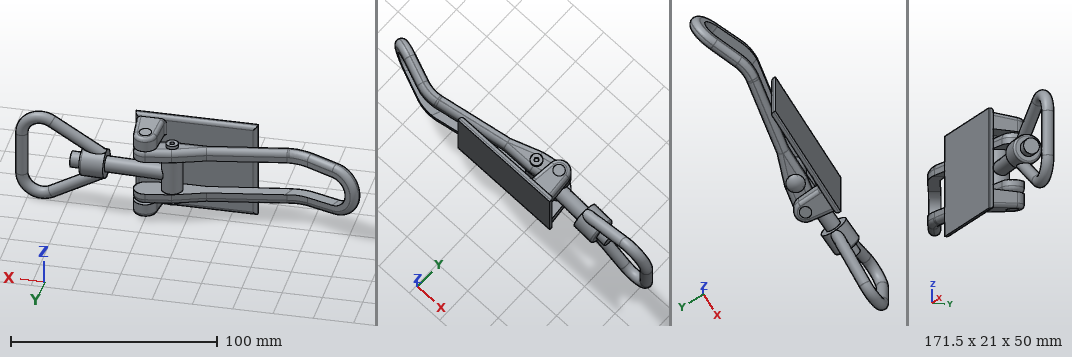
import cadquery as cq
import math


PLATE_LENGTH = 60.5
PLATE_WIDTH = 50.0
PLATE_THICKNESS = 3.0
PLATE_EDGE_ROUND = 2.0

HINGE_X = 52.6
EAR_TOP_RADIUS = 5.8
EAR_HEIGHT = 21.0
HINGE_Y = EAR_HEIGHT - EAR_TOP_RADIUS
EAR_INNER_Z = 15.0
EAR_FOOT_OUTER_Z = 23.7
EAR_DRAFT = 5.0
EAR_ROUND = 2.0
EAR_FOOT_FILLET = 1.0
TRUNNION_RADIUS = 3.0

LEVER_WIDTH = 6.0
LEVER_ROUND = 2.95
ARM_OUTER_Z = EAR_INNER_Z
ARM_ANGLE = 10.0
TIP_ANGLE = 22.0
BEND_CORNER = (-21.3, 2.25)
BEND_RADIUS = 21.7
ARM_LENGTH = 45.2
HUB_NECK_LENGTH = 13.0
TIP_LENGTH = 34.4
TIP_RADIUS = 13.9
TIP_TAPER = 2.5

RIVET_X = 39.8
RIVET_Y = 12.95
RIVET_RADIUS = 3.1
RIVET_END_HEIGHT = 1.7
RIVET_HOLE_RADIUS = 1.1
RIVET_HOLE_DEPTH = 2.0
RIVET_HEAD_RADIUS = 4.7
RIVET_HEAD_HEIGHT = 2.1

BOLT_ANGLE = -2.3
BOLT_RADIUS = 4.0
BOLT_LENGTH = 50.3
BARREL_RADIUS = 5.3
NUT_RADIUS = 7.25
NUT_START = 32.9
NUT_LENGTH = 12.2
NUT_ROUND = 1.0
LOOP_END = 78.3
LOOP_WIRE_RADIUS = 3.0
LOOP_BEND_RADIUS = 10.0
LOOP_STRAIGHT_HALF = 11.1
LOOP_LEG_ANGLE = 30.0

FAR = 100.0


def direction(degrees):
    """Unit vector in the XY plane at an angle from +X."""
    return cq.Vector(math.cos(math.radians(degrees)), math.sin(math.radians(degrees)), 0)


def flat(vector):
    return (vector.x, vector.y)


def cylinder_along_z(x, y, radius, z_start, z_end):
    return cq.Workplane("XY", origin=(x, y, z_start)).circle(radius).extrude(z_end - z_start)


def ear_envelope():
    """Wedge that bounds both ears with outer faces leaning inwards towards the top."""
    lean = math.tan(math.radians(EAR_DRAFT))
    low_z = EAR_FOOT_OUTER_Z + PLATE_THICKNESS * lean
    top_z = EAR_FOOT_OUTER_Z - (EAR_HEIGHT - PLATE_THICKNESS) * lean
    corners = [(0, -low_z), (EAR_HEIGHT, -top_z), (EAR_HEIGHT, top_z), (0, low_z)]
    return cq.Workplane("YZ").polyline(corners).close().extrude(FAR)


def ear(side):
    """One drafted ear with a round top; side is +1 or -1 along Z."""
    draft = math.radians(EAR_DRAFT)
    touch_x = EAR_TOP_RADIUS * math.cos(draft)
    touch_y = HINGE_Y + EAR_TOP_RADIUS * math.sin(draft)
    foot_y = PLATE_THICKNESS - PLATE_EDGE_ROUND
    foot_half = touch_x + (touch_y - foot_y) * math.tan(draft)
    fillet = EAR_FOOT_FILLET
    fillet_y = PLATE_THICKNESS + fillet
    face_x = HINGE_X - touch_x - (touch_y - fillet_y) * math.tan(draft)
    fillet_x = face_x - fillet / math.cos(draft)
    half_turn = (math.pi / 2 - draft) / 2
    blank = (
        cq.Workplane("XY", origin=(0, 0, side * EAR_INNER_Z))
        .moveTo(fillet_x, foot_y)
        .lineTo(fillet_x, PLATE_THICKNESS)
        .threePointArc(
            (fillet_x + fillet * math.sin(half_turn), fillet_y - fillet * math.cos(half_turn)),
            (fillet_x + fillet * math.cos(draft), fillet_y - fillet * math.sin(draft)),
        )
        .lineTo(HINGE_X - touch_x, touch_y)
        .threePointArc((HINGE_X, EAR_HEIGHT), (HINGE_X + touch_x, touch_y))
        .lineTo(HINGE_X + foot_half, foot_y)
        .close()
        .extrude(side * FAR)
        .intersect(ear_envelope())
    )
    leaning_face = blank.faces(cq.selectors.DirectionMinMaxSelector(cq.Vector(0, 0, side)))
    return leaning_face.edges("not(|X)").fillet(EAR_ROUND)


def make_base():
    plate = (
        cq.Workplane("XZ")
        .center(PLATE_LENGTH / 2, 0)
        .rect(PLATE_LENGTH, PLATE_WIDTH)
        .extrude(-PLATE_THICKNESS)
        .faces(">Y")
        .edges()
        .fillet(PLATE_EDGE_ROUND)
    )
    for side in (1, -1):
        plate = plate.union(ear(side))
    return plate.cut(cylinder_along_z(HINGE_X, HINGE_Y, TRUNNION_RADIUS, -FAR, FAR))


def lever_side_profile():
    """Bent strip seen along Z, widening into a neck and a round hub at the hinge."""
    half = LEVER_WIDTH / 2
    corner = cq.Vector(*BEND_CORNER)
    along_arm = direction(ARM_ANGLE)
    above_arm = direction(ARM_ANGLE + 90)
    along_tip = direction(180 - TIP_ANGLE)
    above_tip = direction(90 - TIP_ANGLE)
    tangent = BEND_RADIUS * math.tan(math.radians(ARM_ANGLE + TIP_ANGLE) / 2)
    bend_centre = corner + along_arm * tangent + above_arm * BEND_RADIUS
    to_bend_middle = (corner - bend_centre).normalized()
    tip_end = corner + along_tip * (TIP_LENGTH + LEVER_WIDTH)
    bend_tip = corner + along_tip * tangent
    bend_arm = corner + along_arm * tangent
    arm_end = corner + along_arm * ARM_LENGTH
    hub = cq.Vector(HINGE_X, HINGE_Y)
    neck = hub - along_arm * HUB_NECK_LENGTH
    hub_rise = above_arm * EAR_TOP_RADIUS
    return (
        cq.Workplane("XY", origin=(0, 0, -ARM_OUTER_Z))
        .moveTo(*flat(tip_end + above_tip * half))
        .lineTo(*flat(bend_tip + above_tip * half))
        .threePointArc(
            flat(bend_centre + to_bend_middle * (BEND_RADIUS - half)),
            flat(bend_arm + above_arm * half),
        )
        .lineTo(*flat(arm_end + above_arm * half))
        .lineTo(*flat(neck + hub_rise))
        .lineTo(*flat(hub + hub_rise))
        .threePointArc(flat(hub + along_arm * EAR_TOP_RADIUS), flat(hub - hub_rise))
        .lineTo(*flat(neck - hub_rise))
        .lineTo(*flat(arm_end - above_arm * half))
        .lineTo(*flat(bend_arm - above_arm * half))
        .threePointArc(
            flat(bend_centre + to_bend_middle * (BEND_RADIUS + half)),
            flat(bend_tip - above_tip * half),
        )
        .lineTo(*flat(tip_end - above_tip * half))
        .close()
        .extrude(2 * ARM_OUTER_Z)
    )


def fork_prism(inset):
    """Prism square to the tip, with the fork's outline moved inwards by the inset."""
    radius = TIP_RADIUS - inset
    half_width = ARM_OUTER_Z - inset
    taper = math.radians(TIP_TAPER)
    centre = TIP_LENGTH - TIP_RADIUS
    touch = (centre + radius * math.sin(taper), radius * math.cos(taper))
    taper_start = touch[0] - (half_width - touch[1]) / math.tan(taper)
    plane = cq.Plane(
        origin=(BEND_CORNER[0], BEND_CORNER[1], 0),
        xDir=direction(180 - TIP_ANGLE).toTuple(),
        normal=direction(-90 - TIP_ANGLE).toTuple(),
    )
    return (
        cq.Workplane(plane)
        .moveTo(-FAR, half_width)
        .lineTo(taper_start, half_width)
        .lineTo(*touch)
        .threePointArc((centre + radius, 0), (touch[0], -touch[1]))
        .lineTo(taper_start, -half_width)
        .lineTo(-FAR, -half_width)
        .close()
        .extrude(FAR, both=True)
    )


def make_lever():
    seams = cq.selectors.ParallelDirSelector(direction(90 - TIP_ANGLE))
    rims = cq.selectors.SubtractSelector(cq.StringSyntaxSelector("not(|Z)"), seams)
    fork = lever_side_profile().intersect(fork_prism(0)).edges(rims).fillet(LEVER_ROUND)
    fork = fork.cut(fork_prism(LEVER_WIDTH))
    arm_middle_z = ARM_OUTER_Z - LEVER_WIDTH / 2
    for side in (1, -1):
        trunnion = cylinder_along_z(HINGE_X, HINGE_Y, TRUNNION_RADIUS, side * arm_middle_z, side * FAR)
        fork = fork.union(trunnion.intersect(ear_envelope()))
    return fork.cut(rivet_shank())


def rivet_shank():
    return cylinder_along_z(
        RIVET_X, RIVET_Y, RIVET_RADIUS, -ARM_OUTER_Z, ARM_OUTER_Z + RIVET_END_HEIGHT
    )


def make_rivet():
    """Straight shank with a small hole in its +Z end and a domed head on its -Z end."""
    end_z = ARM_OUTER_Z + RIVET_END_HEIGHT
    hole = cylinder_along_z(RIVET_X, RIVET_Y, RIVET_HOLE_RADIUS, end_z - RIVET_HOLE_DEPTH, end_z)
    dome_radius = (RIVET_HEAD_RADIUS**2 + RIVET_HEAD_HEIGHT**2) / (2 * RIVET_HEAD_HEIGHT)
    dome_centre_z = dome_radius - RIVET_HEAD_HEIGHT - ARM_OUTER_Z
    dome = (
        cq.Workplane("XY", origin=(RIVET_X, RIVET_Y, dome_centre_z))
        .sphere(dome_radius)
        .intersect(cylinder_along_z(RIVET_X, RIVET_Y, dome_radius, -FAR, -ARM_OUTER_Z))
    )
    return rivet_shank().union(dome).cut(hole)


def lean_with_bolt(body):
    """Turns a body built along X from the rivet axis onto the leaning bolt axis."""
    return body.rotate((0, 0, 0), (0, 0, 1), BOLT_ANGLE).translate((RIVET_X, RIVET_Y, 0))


def make_bolt():
    barrel_half = ARM_OUTER_Z - LEVER_WIDTH
    barrel = cylinder_along_z(0, 0, BARREL_RADIUS, -barrel_half, barrel_half)
    rod = cq.Workplane("YZ").circle(BOLT_RADIUS).extrude(BOLT_LENGTH)
    return lean_with_bolt(barrel.union(rod)).cut(rivet_shank())


def loop_wire():
    """Triangular wire loop in the XZ plane, its two legs running in towards the bolt axis."""
    end_x = LOOP_END - LOOP_WIRE_RADIUS
    centre_x = end_x - LOOP_BEND_RADIUS
    turn = math.radians(LOOP_LEG_ANGLE)
    leg_x = centre_x - LOOP_BEND_RADIUS * math.sin(turn)
    leg_z = LOOP_STRAIGHT_HALF + LOOP_BEND_RADIUS * math.cos(turn)
    half_turn = (math.pi / 2 - turn) / 2
    mid_x = centre_x + LOOP_BEND_RADIUS * math.sin(half_turn)
    mid_z = LOOP_STRAIGHT_HALF + LOOP_BEND_RADIUS * math.cos(half_turn)
    foot_x = NUT_START - LOOP_WIRE_RADIUS
    foot_z = leg_z - (leg_x - foot_x) * math.tan(turn)
    path = (
        cq.Workplane("XZ")
        .moveTo(foot_x, foot_z)
        .lineTo(leg_x, leg_z)
        .threePointArc((mid_x, mid_z), (end_x, LOOP_STRAIGHT_HALF))
        .lineTo(end_x, -LOOP_STRAIGHT_HALF)
        .threePointArc((mid_x, -mid_z), (leg_x, -leg_z))
        .lineTo(foot_x, -foot_z)
    )
    section = cq.Plane(
        origin=(foot_x, 0, foot_z),
        xDir=(-math.sin(turn), 0, math.cos(turn)),
        normal=(math.cos(turn), 0, math.sin(turn)),
    )
    return cq.Workplane(section).circle(LOOP_WIRE_RADIUS).sweep(path)


def make_pull_loop():
    """Round nut on the bolt with the wire loop joined to it, level with the nut's -X face."""
    nut_face = cq.Workplane("YZ", origin=(NUT_START, 0, 0))
    nut = nut_face.circle(NUT_RADIUS).extrude(NUT_LENGTH).faces(">X").edges().fillet(NUT_ROUND)
    beyond_face = nut_face.rect(FAR, FAR).extrude(FAR)
    bore = cq.Workplane("YZ").circle(BOLT_RADIUS).extrude(BOLT_LENGTH)
    return lean_with_bolt(nut.union(loop_wire().intersect(beyond_face)).cut(bore))


base = make_base()
lever = make_lever()
rivet = make_rivet()
bolt = make_bolt()
pull_loop = make_pull_loop()

bodies = [base, lever, rivet, bolt, pull_loop]
result = cq.Compound.makeCompound([body.solids().val() for body in bodies])